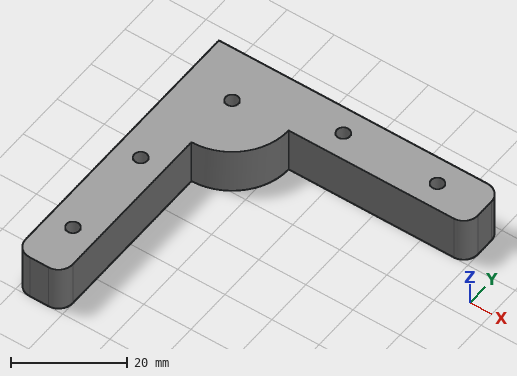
import cadquery as cq

leg_length = 60.0
leg_width = leg_length / 6
thickness = leg_width
gusset_radius = 12.0
end_radius = 3.0
hole_diameter = 2.7

leg_hole_offset = leg_width / 2
leg_hole_distances = (leg_length / 2, leg_length * 5 / 6)


def leg(length_x, length_y, end_face):
    """One straight leg starting at the outer corner, rounded at its free end."""
    block = cq.Workplane("XY").box(length_x, length_y, thickness, centered=False)
    return block.faces(end_face).edges("|Z").fillet(end_radius)


def hole_centers():
    """One hole at the inner corner and a matching row along each leg."""
    centers = [(leg_width, leg_width)]
    for distance in leg_hole_distances:
        centers.append((distance, leg_hole_offset))
        centers.append((leg_hole_offset, distance))
    return centers


leg_x = leg(leg_length, leg_width, ">X")
leg_y = leg(leg_width, leg_length, ">Y")

gusset = (
    cq.Workplane("XY")
    .moveTo(leg_width, leg_width)
    .lineTo(leg_width + gusset_radius, leg_width)
    .radiusArc((leg_width, leg_width + gusset_radius), -gusset_radius)
    .close()
    .extrude(thickness)
)

holes = (
    cq.Workplane("XY")
    .pushPoints(hole_centers())
    .circle(hole_diameter / 2)
    .extrude(thickness)
)

bracket = leg_x.union(leg_y).union(gusset).cut(holes)

result = bracket.mirror("XZ")